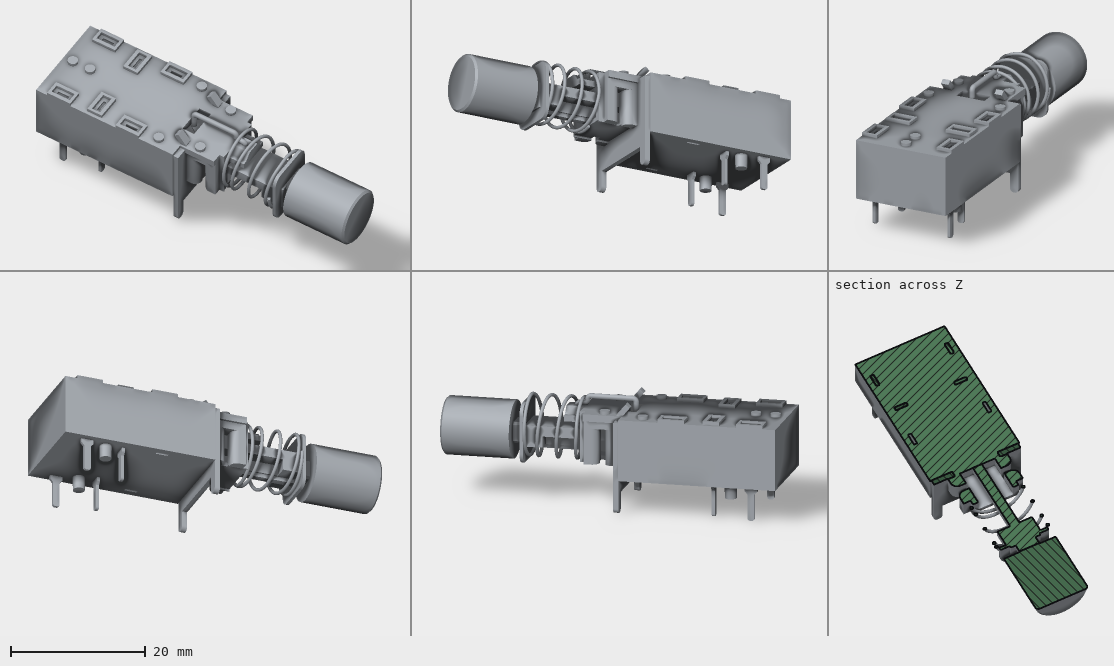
import cadquery as cq
import math


case_length = 23.95
case_width = 15.0
case_height = 9.35
lead_bottom = -5.1
total_length = 51.95

pad_height = 0.5
pad_top = case_height + pad_height
dot_radius = 0.8
rear_dots = [(1.7, 0), (4.75, 0)]
case_dots_x, case_dots_y = 20.55, 6.0
nose_dots_x, nose_dots_y = 26.75, 4.25

slot_length, slot_width = 1.9, 0.45
side_slots_x = [3.95, 15.95]
side_slot_y = 6.25
cross_slot_x, cross_slot_y = 9.9, 5.0
side_pad_length = 4.05
side_pad_inner_y = 5.0
cross_pad_length, cross_pad_width = 4.0, 2.55
well_length, well_width = 3.15, 1.4

nose_bottom = 1.55
nose_half_width = 5.4
nose_wall_half_width = 5.0
nose_end = 29.85
neck_half_width = 3.85
neck_end = 30.65
lid_thickness = 1.1
funnel_x = 27.2
funnel_gap = 0.95
funnel_radius = 1.1
funnel_top = 7.05
relief_height = 0.3
relief_half_width = 3.65

tongue_end = 33.4
tongue_bottom = 7.3
tongue_half_width = 2.65
ridge_foot_half_width = 2.05
ridge_top_half_width = 1.05

pocket_start, pocket_end = 22.45, 24.45
pocket_half_width = 2.35
cam_groove_depth = 0.25
cam_arm_width = 0.85
cam_apex_half_width = 1.05

peg_x, peg_y = 7.25, 5.35
peg_root_radius, peg_tip_radius = 0.95, 0.9
peg_length = 2.1

pin_width = 1.05
pin_shoulder_bottom = -0.6
pin_taper_bottom = -1.1
pin_tip_radius = 0.35
pin_recess = 0.25
pin_top = case_height - pin_recess

sheet = 0.85
frame_front = case_length + sheet
frame_half_width = 7.25
leg_width = 1.45
leg_tip_radius = 0.7
frame_web_bottom = -peg_length
leg_top = 8.85
frame_bend_z = 9.25
tab_inner_y, tab_outer_y = 3.85, 5.1
tab_lean = math.radians(40)
top_z = 11.15
tab_fillet = 0.6

shaft_start = frame_front
shaft_half_width = 2.9
shaft_bottom, shaft_top = 2.5, 6.4
shaft_side_bottom = 3.1
web_half_width = 0.8
rail_half_width = 0.5
notch_top = 4.85
notch_end = 36.6
plate_start, plate_end = 39.35, 39.85
plate_width, plate_height, plate_radius = 8.1, 9.05, 1.55
plate_z = 5.15
flange_end = 40.15
flange_half_width = 2.5
stem_width, stem_chamfer = 3.4, 0.35
stem_bottom = 3.15

button_start = 41.4
button_radius = 4.4
button_z = 4.95
button_chamfer = 0.3

spring_wire = 0.5
spring_radius = 4.55
spring_z = 5.8
spring_start, spring_end = 31.05, 39.0
active_turns = 2.7
flat_turns = 0.8
points_per_turn = 20

latch_wire = 0.85
latch_high_z = top_z - latch_wire / 2
latch_low_z = 9.65
latch_rear_x, latch_front_x = 23.0, 32.0
latch_step_start, latch_step_end = 29.85, 30.9
latch_bend = 0.5
latch_bottom = case_height - lid_thickness - cam_groove_depth


def block(x_range, y_range, z_range):
    """Box given by its limits along X, Y and Z."""
    corner = cq.Vector(x_range[0], y_range[0], z_range[0])
    size = [high - low for low, high in (x_range, y_range, z_range)]
    return cq.Workplane(cq.Solid.makeBox(*size, corner))


def centred_block(x_range, half_width, z_range):
    """Box that is symmetric about the middle plane."""
    return block(x_range, (-half_width, half_width), z_range)


def lid_dots():
    points = list(rear_dots)
    for side in (-1, 1):
        points += [(case_dots_x, side * case_dots_y), (nose_dots_x, side * nose_dots_y)]
    lid_face = cq.Workplane().workplane(offset=case_height)
    return lid_face.pushPoints(points).circle(dot_radius).extrude(pad_height)


def terminal_pads():
    """Raised pads around the six terminal slots."""
    edge = case_width / 2
    pads = cq.Workplane().workplane(offset=case_height)
    side_pad_y = (edge + side_pad_inner_y) / 2
    side_points = [(x, side * side_pad_y) for x in side_slots_x for side in (-1, 1)]
    cross_points = [(cross_slot_x, side * cross_slot_y) for side in (-1, 1)]
    side_pads = pads.pushPoints(side_points).rect(side_pad_length, edge - side_pad_inner_y).extrude(pad_height)
    cross_pads = pads.pushPoints(cross_points).rect(cross_pad_width, cross_pad_length).extrude(pad_height)
    return side_pads.union(cross_pads)


def terminal_openings(length, width, bottom, top):
    """Six rectangular openings at the terminal places."""
    plane = cq.Workplane().workplane(offset=bottom)
    side_points = [(x, side * side_slot_y) for x in side_slots_x for side in (-1, 1)]
    cross_points = [(cross_slot_x, side * cross_slot_y) for side in (-1, 1)]
    along = plane.pushPoints(side_points).rect(length, width).extrude(top - bottom)
    across = plane.pushPoints(cross_points).rect(width, length).extrude(top - bottom)
    return along.union(across)


def nose():
    lid_bottom = case_height - lid_thickness
    lid = centred_block((case_length, nose_end), nose_half_width, (lid_bottom, case_height))
    walls = centred_block((case_length, nose_end), nose_wall_half_width, (nose_bottom, lid_bottom))
    neck = centred_block((nose_end, neck_end), neck_half_width, (nose_bottom, case_height))
    relief = centred_block((frame_front, neck_end), relief_half_width, (nose_bottom, nose_bottom + relief_height))
    return walls.union(lid).union(neck).cut(relief)


def funnel_opening():
    """Side opening through both nose walls whose mouth flares with rounded edges."""
    half_gap = funnel_gap / 2
    half_mouth = half_gap + funnel_radius
    flare_y = nose_wall_half_width - funnel_radius
    turn = funnel_radius * math.sqrt(0.5)
    arc_x = half_mouth - turn
    arc_y = flare_y + turn
    height = funnel_top - nose_bottom
    half = (
        cq.Workplane(origin=(funnel_x, 0, nose_bottom))
        .moveTo(-half_gap, 0)
        .lineTo(half_gap, 0)
        .lineTo(half_gap, flare_y)
        .threePointArc((arc_x, arc_y), (half_mouth, nose_wall_half_width))
        .lineTo(-half_mouth, nose_wall_half_width)
        .threePointArc((-arc_x, arc_y), (-half_gap, flare_y))
        .close()
        .extrude(height)
    )
    walls = half.cut(centred_block((shaft_start, neck_end), shaft_half_width, (nose_bottom, funnel_top)))
    return walls.union(walls.mirror("XZ"))


def tongue():
    """Ledge with a sloping ridge that carries the front end of the latch wire."""
    ledge_z = case_height - lid_thickness
    right_side = [
        (tongue_half_width, tongue_bottom),
        (tongue_half_width, ledge_z),
        (ridge_foot_half_width, ledge_z),
        (ridge_top_half_width, case_height),
    ]
    left_side = [(-y, z) for y, z in reversed(right_side)]
    outline = cq.Workplane("YZ", origin=(neck_end, 0, 0)).polyline(right_side + left_side).close()
    return outline.extrude(tongue_end - neck_end)


def latch_pocket():
    """Pocket through the lid with a V-shaped cam groove in its floor."""
    floor = case_height - lid_thickness
    pocket = centred_block((pocket_start, pocket_end), pocket_half_width, (floor, case_height))
    arm_outer_x = pocket_start + pocket_half_width - cam_apex_half_width
    apex_inset = cam_apex_half_width / 2
    upper = [
        (pocket_start, cam_apex_half_width),
        (arm_outer_x, pocket_half_width),
        (pocket_end, pocket_half_width),
        (pocket_end, pocket_half_width - cam_arm_width),
        (pocket_start + apex_inset, apex_inset),
    ]
    lower = [(x, -y) for x, y in reversed(upper)]
    groove = cq.Workplane().workplane(offset=floor).polyline(upper + lower).close().extrude(-cam_groove_depth)
    return pocket.union(groove)


def locating_pegs():
    """Two slightly tapered pegs."""
    taper = math.degrees(math.atan2(peg_root_radius - peg_tip_radius, peg_length))
    points = [(peg_x, side * peg_y) for side in (-1, 1)]
    return cq.Workplane().pushPoints(points).circle(peg_root_radius).extrude(-peg_length, taper=taper)


def make_housing(frame, latch):
    case = centred_block((0, case_length), case_width / 2, (0, case_height))
    bore = centred_block((shaft_start, neck_end), shaft_half_width, (shaft_bottom, shaft_top))
    body = case.union(nose()).union(tongue()).union(lid_dots()).union(terminal_pads()).union(locating_pegs())
    body = body.cut(terminal_openings(well_length, well_width, case_height, pad_top))
    body = body.cut(terminal_openings(slot_length, slot_width, 0, case_height))
    body = body.cut(latch_pocket()).cut(bore).cut(funnel_opening())
    return body.cut(frame).cut(latch)


def make_pin():
    """Flat terminal in the XZ plane with a wide head, centred on the origin."""
    blade = (
        cq.Workplane("XZ")
        .rect(pin_width, 2 * -lead_bottom)
        .extrude(slot_width / 2, both=True)
        .edges("|Y and <Z")
        .fillet(pin_tip_radius)
    )
    head_half, blade_half = slot_length / 2, pin_width / 2
    right_side = [
        (blade_half, pin_taper_bottom),
        (head_half, pin_shoulder_bottom),
        (head_half, pin_top),
    ]
    left_side = [(-x, z) for x, z in reversed(right_side)]
    head = cq.Workplane("XZ").polyline(right_side + left_side).close().extrude(slot_width / 2, both=True)
    return blade.union(head)


def make_pins():
    pins = []
    for side in (-1, 1):
        pins.append(make_pin().translate((side_slots_x[0], side * side_slot_y, 0)))
        pins.append(make_pin().rotate((0, 0, 0), (0, 0, 1), 90).translate((cross_slot_x, side * cross_slot_y, 0)))
    return pins


def frame_leg():
    """Leg and upright on the +Y side."""
    leg = block(
        (case_length, frame_front),
        (frame_half_width - leg_width, frame_half_width),
        (lead_bottom, leg_top),
    )
    foot = block((case_length, frame_front), (tab_inner_y, frame_half_width), (frame_web_bottom, leg_top))
    root = block((case_length, frame_front), (tab_inner_y, tab_outer_y), (leg_top, frame_bend_z))
    return leg.edges("|X and <Z").fillet(leg_tip_radius).union(foot).union(root)


def frame_tab():
    """Tab on the +Y side that is bent back over the lid."""
    cap_x, cap_z = sheet * math.cos(tab_lean), sheet * math.sin(tab_lean)
    drop = sheet * math.tan(tab_lean / 2)
    reach = (top_z - cap_z - frame_bend_z) * math.tan(tab_lean)
    tip_x = case_length - reach
    outline = [
        (case_length, frame_bend_z - drop),
        (case_length, frame_bend_z),
        (tip_x, top_z - cap_z),
        (tip_x + cap_x, top_z),
        (frame_front, frame_bend_z + drop),
        (frame_front, frame_bend_z - drop),
    ]
    return (
        cq.Workplane("XZ", origin=(0, tab_outer_y, 0))
        .polyline(outline)
        .close()
        .extrude(tab_outer_y - tab_inner_y)
    )


def tab_corner():
    """Concave fillet between the top of the +Y leg and its tab."""
    reach = tab_fillet * (1 - math.sqrt(0.5))
    return (
        cq.Workplane("YZ", origin=(case_length, tab_outer_y, leg_top))
        .lineTo(tab_fillet, 0)
        .threePointArc((reach, reach), (0, tab_fillet))
        .close()
        .extrude(sheet)
    )


def make_frame():
    half = frame_leg().union(frame_tab()).union(tab_corner())
    web = centred_block((case_length, frame_front), frame_half_width - leg_width, (frame_web_bottom, nose_bottom))
    return web.union(half).union(half.mirror("XZ"))


def make_plunger():
    rail = centred_block((shaft_start, plate_start), rail_half_width, (shaft_bottom, shaft_side_bottom))
    web = centred_block((shaft_start, plate_start), web_half_width, (shaft_side_bottom, shaft_top))
    roof = centred_block((shaft_start, plate_start), shaft_half_width, (notch_top, shaft_top))
    head = centred_block((notch_end, plate_start), shaft_half_width, (shaft_side_bottom, shaft_top))
    plate = (
        cq.Workplane("YZ", origin=(plate_start, 0, plate_z))
        .rect(plate_width, plate_height)
        .extrude(plate_end - plate_start)
        .edges("|X")
        .fillet(plate_radius)
    )
    flange = centred_block((plate_end, flange_end), flange_half_width, (shaft_bottom, shaft_top))
    stem = centred_block((flange_end, button_start), stem_width / 2, (stem_bottom, shaft_top))
    stem = stem.edges("|X").chamfer(stem_chamfer)
    return rail.union(web).union(roof).union(head).union(plate).union(flange).union(stem)


def make_button():
    blank = cq.Workplane("YZ", origin=(button_start, 0, button_z)).circle(button_radius)
    return blank.extrude(total_length - button_start).faces(">X").chamfer(button_chamfer)


def spring_point(turn):
    """Point on the left-handed coil; turns before zero and after the last active one are flat."""
    progress = min(max(turn / active_turns, 0), 1)
    angle = 2 * math.pi * turn
    x = spring_start + progress * (spring_end - spring_start)
    return cq.Vector(x, spring_radius * math.cos(angle), spring_z - spring_radius * math.sin(angle))


def make_spring():
    total_turns = active_turns + 2 * flat_turns
    steps = round(total_turns * points_per_turn)
    points = [spring_point(i * total_turns / steps - flat_turns) for i in range(steps + 1)]
    path = cq.Edge.makeSpline(points)
    section = cq.Workplane(cq.Plane(path.startPoint(), normal=path.tangentAt(0)))
    return section.circle(spring_wire / 2).sweep(cq.Workplane(path), isFrenet=True)


def make_latch():
    """Wire bent down at both ends, with a step down towards the tongue."""
    turn = latch_bend * (1 - math.sqrt(0.5))
    step_middle = ((latch_step_start + latch_step_end) / 2, (latch_high_z + latch_low_z) / 2)
    path = (
        cq.Workplane("XZ")
        .moveTo(latch_rear_x, latch_bottom)
        .lineTo(latch_rear_x, latch_high_z - latch_bend)
        .threePointArc((latch_rear_x + turn, latch_high_z - turn), (latch_rear_x + latch_bend, latch_high_z))
        .lineTo(latch_step_start, latch_high_z)
        .tangentArcPoint(step_middle, relative=False)
        .tangentArcPoint((latch_step_end, latch_low_z), relative=False)
        .lineTo(latch_front_x - latch_bend, latch_low_z)
        .threePointArc((latch_front_x - turn, latch_low_z - turn), (latch_front_x, latch_low_z - latch_bend))
        .lineTo(latch_front_x, shaft_top)
    )
    return cq.Workplane(origin=(latch_rear_x, 0, latch_bottom)).circle(latch_wire / 2).sweep(path)


frame = make_frame()
latch = make_latch()
housing = make_housing(frame, latch)
pins = make_pins()
plunger = make_plunger()
button = make_button()
spring = make_spring()

bodies = [housing, *pins, frame, plunger, button, spring, latch]
result = cq.Compound.makeCompound([body.solids().val() for body in bodies])